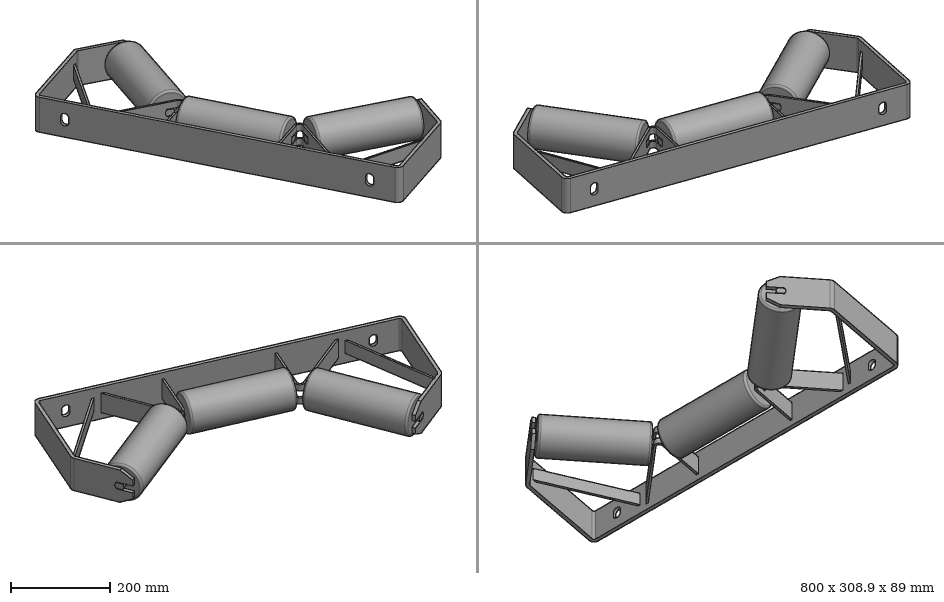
import cadquery as cq
import math

DIAGONAL = math.sqrt(0.5)

frame_length = 800.0
frame_width = 80.0
frame_thickness = 8.0
frame_bend_radius = 13.0
lip_past_shaft = 30.0
lip_chamfer_along = 28.0
lip_chamfer_across = 17.0
mount_slot_x = 332.0
mount_slot_length = 28.0
mount_slot_width = 18.0

roller_diameter = 89.0
roller_length = 230.0
roller_edge_radius = 5.0
roller_gap = 4.4
shaft_diameter = 20.0
shaft_flats = 14.0
middle_axis_y = 101.0

bracket_width = 48.0
bracket_thickness = 5.0
bracket_bend_radius = 12.0
bracket_bend_y = 116.0
tilted_seat_to_bend = 16.0

shaft_slot_width = 17.0

brace_width = 32.0
brace_thickness = 5.0
brace_wall_y = 191.0
brace_base_x = -277.0

tilted_axis = cq.Vector(-DIAGONAL, DIAGONAL, 0)
lip_direction = cq.Vector(DIAGONAL, DIAGONAL, 0)
bracket_face_x = -(roller_length / 2 + roller_gap)
bend_center = cq.Vector(bracket_face_x - bracket_bend_radius, bracket_bend_y, 0)
bend_tangent = bend_center + tilted_axis * bracket_bend_radius
middle_seat = cq.Vector(bracket_face_x, middle_axis_y, 0)
tilted_seat = bend_tangent - lip_direction * tilted_seat_to_bend
tilted_center = tilted_seat + tilted_axis * (roller_gap + roller_length / 2)
lip_shaft_end = tilted_seat + tilted_axis * (roller_length + 2 * roller_gap + frame_thickness)
lip_tip = lip_shaft_end + lip_direction * lip_past_shaft


def mirrored(body):
    return body.mirror("YZ")


def shaft_slot_cutter(center, outward, run_direction, run_length, depth):
    """Open slot with an end curved like the shaft, cut inward from the face at center."""
    half_width = shaft_slot_width / 2
    radius = shaft_diameter / 2
    arc_start = -math.sqrt(radius**2 - half_width**2)
    return (
        cq.Workplane(cq.Plane(origin=center, xDir=run_direction, normal=outward))
        .moveTo(run_length, half_width)
        .lineTo(arc_start, half_width)
        .threePointArc((-radius, 0), (arc_start, -half_width))
        .lineTo(run_length, -half_width)
        .close()
        .extrude(-depth)
    )


def lip_corner_cutter(side):
    """Wedge that slants the lip's free end on the upper (side 1) or lower (side -1) edge."""
    edge_z = side * frame_width / 2
    return (
        cq.Workplane(cq.Plane(origin=lip_tip, xDir=lip_direction, normal=tilted_axis))
        .polyline(
            [
                (0, edge_z),
                (-lip_chamfer_along, edge_z),
                (0, edge_z - side * lip_chamfer_across),
            ]
        )
        .close()
        .extrude(-frame_thickness)
    )


def make_frame():
    half_length = frame_length / 2
    inner_x = half_length - frame_thickness
    inner_tip = lip_tip - tilted_axis * frame_thickness
    outer_bend_y = lip_tip.y - (half_length + lip_tip.x)
    inner_bend_y = inner_tip.y - (inner_x + inner_tip.x)
    lip_bend = ((-half_length, outer_bend_y), (-inner_x, inner_bend_y))
    base_bend = ((-half_length, 0), (-inner_x, frame_thickness))
    left_outline = [(lip_tip.x, lip_tip.y), lip_bend[0], base_bend[0]]
    left_inside = [base_bend[1], lip_bend[1], (inner_tip.x, inner_tip.y)]
    right_outline = [(-x, y) for x, y in reversed(left_outline)]
    right_inside = [(-x, y) for x, y in reversed(left_inside)]
    frame = (
        cq.Workplane("XY")
        .polyline(left_outline + right_outline + right_inside + left_inside)
        .close()
        .extrude(frame_width / 2, both=True)
    )

    inner_radius = frame_bend_radius - frame_thickness
    for outer, inner in (lip_bend, base_bend):
        for (x, y), radius in ((outer, frame_bend_radius), (inner, inner_radius)):
            for bend_x in (x, -x):
                frame = frame.edges(cq.NearestToPointSelector((bend_x, y, 0))).fillet(radius)

    lip_cutters = [lip_corner_cutter(1), lip_corner_cutter(-1)]
    lip_cutters.append(
        shaft_slot_cutter(lip_shaft_end, tilted_axis, lip_direction, lip_past_shaft, frame_thickness)
    )
    for cutter in lip_cutters:
        frame = frame.cut(cutter).cut(mirrored(cutter))

    mount_slots = (
        cq.Workplane("XZ")
        .pushPoints([(-mount_slot_x, 0), (mount_slot_x, 0)])
        .slot2D(mount_slot_length, mount_slot_width, 90)
        .extrude(-frame_thickness)
    )
    return frame.cut(mount_slots)


def make_left_bracket():
    """Strip bent over 135 degrees: one upright leg, one leg sloping at 45 degrees to the base."""
    inner_radius = bracket_bend_radius - bracket_thickness
    inner_tangent = bend_center + tilted_axis * inner_radius
    outer_top = bend_center + cq.Vector(0, bracket_bend_radius, 0)
    inner_top = bend_center + cq.Vector(0, inner_radius, 0)
    base_y = frame_thickness
    bracket = (
        cq.Workplane("XY")
        .moveTo(bracket_face_x, base_y)
        .lineTo(bracket_face_x, bend_center.y)
        .threePointArc((outer_top.x, outer_top.y), (bend_tangent.x, bend_tangent.y))
        .lineTo(bend_tangent.x - (bend_tangent.y - base_y), base_y)
        .lineTo(inner_tangent.x - (inner_tangent.y - base_y), base_y)
        .lineTo(inner_tangent.x, inner_tangent.y)
        .threePointArc((inner_top.x, inner_top.y), (bracket_face_x - bracket_thickness, bend_center.y))
        .lineTo(bracket_face_x - bracket_thickness, base_y)
        .close()
        .extrude(bracket_width / 2, both=True)
    )

    slot_run = tilted_seat_to_bend + bracket_bend_radius
    seats = (
        (middle_seat, cq.Vector(1, 0, 0), cq.Vector(0, 1, 0)),
        (tilted_seat, tilted_axis, lip_direction),
    )
    for seat, outward, run_direction in seats:
        bracket = bracket.cut(
            shaft_slot_cutter(seat, outward, run_direction, slot_run, bracket_bend_radius)
        )
    return bracket


def make_left_brace():
    """Flat diagonal strut between the end wall and the base, cut flush with both."""
    wall_x = frame_thickness - frame_length / 2
    rise = brace_wall_y - frame_thickness
    run = brace_base_x - wall_x
    slant_length = math.hypot(rise, run)
    base_cut = brace_thickness * slant_length / rise
    wall_cut = brace_thickness * slant_length / run
    return (
        cq.Workplane("XY")
        .polyline(
            [
                (wall_x, brace_wall_y),
                (brace_base_x, frame_thickness),
                (brace_base_x + base_cut, frame_thickness),
                (wall_x, brace_wall_y + wall_cut),
            ]
        )
        .close()
        .extrude(brace_width / 2, both=True)
    )


def make_roller(left_support, right_support):
    """Roller along X with a flatted shaft reaching through supports of the given thicknesses."""
    shell = (
        cq.Workplane(cq.Plane(origin=(-roller_length / 2, 0, 0), xDir=(0, 0, 1), normal=(1, 0, 0)))
        .circle(roller_diameter / 2)
        .extrude(roller_length)
        .edges("%CIRCLE")
        .fillet(roller_edge_radius)
    )
    reach = roller_length / 2 + roller_gap
    shaft_length = 2 * reach + left_support + right_support
    shaft = (
        cq.Workplane("YZ", origin=(-reach - left_support, 0, 0))
        .circle(shaft_diameter / 2)
        .extrude(shaft_length)
    )
    flats = (
        cq.Workplane("YZ", origin=(-reach - left_support, 0, 0))
        .rect(shaft_diameter, shaft_flats)
        .extrude(shaft_length)
    )
    return shell.union(shaft.intersect(flats))


frame = make_frame()

left_bracket = make_left_bracket()
brackets = [left_bracket, mirrored(left_bracket)]

left_brace = make_left_brace()
braces = [left_brace, mirrored(left_brace)]

middle_roller = make_roller(bracket_thickness, bracket_thickness).translate((0, middle_axis_y, 0))
left_roller = (
    make_roller(frame_thickness, bracket_thickness)
    .rotate((0, 0, 0), (0, 0, 1), -45)
    .translate(tilted_center)
)
rollers = [left_roller, middle_roller, mirrored(left_roller)]

bodies = [frame, *brackets, *braces, *rollers]
result = cq.Compound.makeCompound([body.val() for body in bodies])